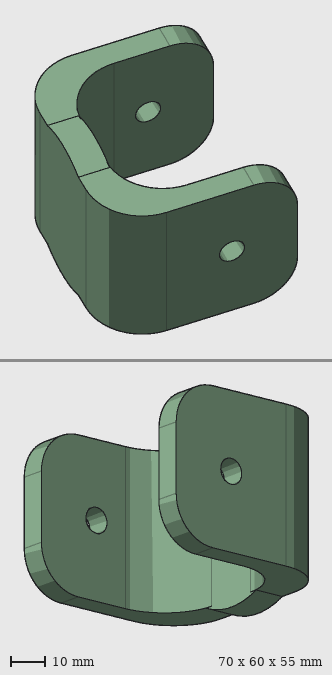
import cadquery as cq

width = 70.0
depth = 60.0
body_height = 50.0
crown_diameter = 55.0
arm_thickness = 8.0
web_thickness = 10.0
bend_radius = 18.0
arm_corner_radius = 14.0
hole_diameter = 8.0
hole_from_arm_end = 21.0

front_y = -depth / 2
arm_end_y = depth / 2
inner_width = width - 2 * arm_thickness
flat_width = width - 2 * bend_radius
cavity_depth = depth - web_thickness
cavity_center_y = front_y + web_thickness + cavity_depth / 2


def u_bracket(height):
    """U-shaped channel centred on Z, open toward +Y."""
    outer = cq.Workplane("XY").box(width, depth, height)
    outer = outer.edges("|Z and <Y").fillet(bend_radius)
    cavity = cq.Workplane("XY").box(inner_width, cavity_depth, height)
    cavity = cavity.edges("|Z and <Y").fillet(bend_radius)
    return outer.cut(cavity.translate((0, cavity_center_y, 0)))


def crowned_web():
    """Round disc in the web, trimmed at the sides to the flat outer face."""
    disc = (
        cq.Workplane("XZ", origin=(0, front_y, 0))
        .circle(crown_diameter / 2)
        .extrude(-web_thickness)
    )
    flat_web = cq.Workplane("XY").box(flat_width, depth, crown_diameter)
    return disc.intersect(flat_web)


def pivot_holes():
    """One cylinder passing through both arms along X."""
    return (
        cq.Workplane("YZ", origin=(0, arm_end_y - hole_from_arm_end, 0))
        .circle(hole_diameter / 2)
        .extrude(width, both=True)
    )


bracket = u_bracket(body_height).edges("|X and >Y").fillet(arm_corner_radius)
result = bracket.union(crowned_web()).cut(pivot_holes())